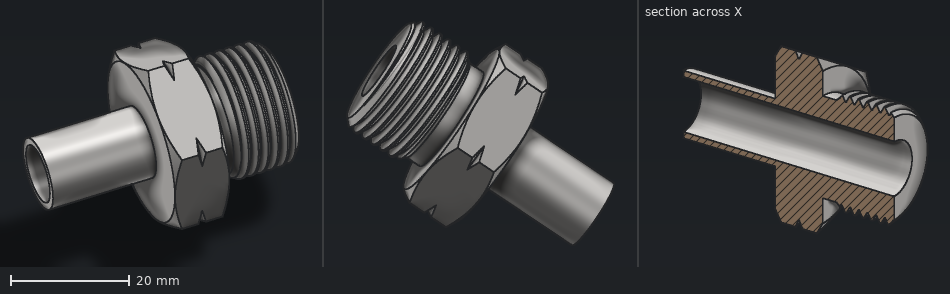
import cadquery as cq
import math

TOTAL_LENGTH = 43.95
TUBE_LENGTH = 19.03
HEX_LENGTH = 10.05
NECK_LENGTH = 2.8
BORE_DIAMETER = 10.2
TUBE_DIAMETER = 12.75
NECK_DIAMETER = 19.2

HEX_SIDES = 6
HEX_ACROSS_FLATS = 28.55
HEX_BEVEL_ANGLE = 30.0
HEX_FACE_DIAMETER = 28.47
NOTCH_WIDTH = 1.4
NOTCH_DEPTH = 1.45
NOTCH_CLEARANCE = 0.45

THREAD_DIAMETER = 21.9
THREAD_PITCH = 1.8
THREAD_CREST_FLAT = 0.35
THREAD_FLANK_ANGLE = 30.0
CREST_SETBACK = 1.6
GROOVE_OVERSHOOT = 0.15

HEX_START = TUBE_LENGTH
HEX_END = HEX_START + HEX_LENGTH
THREAD_START = HEX_END + NECK_LENGTH
THREAD_LENGTH = TOTAL_LENGTH - THREAD_START
HEX_CORNER_RADIUS = HEX_ACROSS_FLATS / 2 / math.cos(math.pi / HEX_SIDES)


def cylinder(diameter, start, end):
    """Solid cylinder about the Y axis between two positions."""
    base = cq.Workplane("XZ", origin=(0, start, 0))
    return base.circle(diameter / 2).extrude(start - end)


def revolved(points):
    """Solid of revolution about Y from (radius, y) points."""
    return cq.Workplane("XY").polyline(points).close().revolve(360, (0, 0), (0, 1))


def hexagon():
    """Hexagon with corners on +Z and -Z, bevelled at both ends and notched."""
    face_radius = HEX_FACE_DIAMETER / 2
    bevel = (HEX_CORNER_RADIUS - face_radius) * math.tan(math.radians(HEX_BEVEL_ANGLE))
    body = (
        cq.Workplane("XZ", origin=(0, HEX_START, 0))
        .transformed(rotate=(0, 0, 180 / HEX_SIDES))
        .polygon(HEX_SIDES, 2 * HEX_CORNER_RADIUS)
        .extrude(-HEX_LENGTH)
    )
    bevel_envelope = revolved([
        (0, HEX_START),
        (face_radius, HEX_START),
        (HEX_CORNER_RADIUS, HEX_START + bevel),
        (HEX_CORNER_RADIUS, HEX_END - bevel),
        (face_radius, HEX_END),
        (0, HEX_END),
    ])
    body = body.intersect(bevel_envelope)

    middle = (HEX_START + HEX_END) / 2
    outer_half_width = NOTCH_WIDTH / 2 * (NOTCH_DEPTH + NOTCH_CLEARANCE) / NOTCH_DEPTH
    notch = (
        cq.Workplane("YZ")
        .moveTo(middle, HEX_CORNER_RADIUS - NOTCH_DEPTH)
        .lineTo(middle + outer_half_width, HEX_CORNER_RADIUS + NOTCH_CLEARANCE)
        .lineTo(middle - outer_half_width, HEX_CORNER_RADIUS + NOTCH_CLEARANCE)
        .close()
        .extrude(HEX_CORNER_RADIUS / 2, both=True)
    )
    for corner in range(HEX_SIDES):
        body = body.cut(notch.rotate((0, 0, 0), (0, 1, 0), 360 / HEX_SIDES * corner))
    return body


def thread_envelope():
    """Cylinder of the thread's outer diameter, chamfered down to the neck diameter."""
    neck_radius = NECK_DIAMETER / 2
    crest_radius = THREAD_DIAMETER / 2
    chamfer = crest_radius - neck_radius
    return revolved([
        (0, THREAD_START),
        (neck_radius, THREAD_START),
        (crest_radius, THREAD_START + chamfer),
        (crest_radius, TOTAL_LENGTH - chamfer),
        (neck_radius, TOTAL_LENGTH),
        (0, TOTAL_LENGTH),
    ])


def thread_groove():
    """Helical cutter that leaves the thread ridge; it runs out past both chamfers."""
    crest_radius = THREAD_DIAMETER / 2
    outer_radius = crest_radius + GROOVE_OVERSHOOT
    flank_angle = math.radians(THREAD_FLANK_ANGLE)
    crest_half_width = (THREAD_PITCH - THREAD_CREST_FLAT) / 2
    root_radius = crest_radius - crest_half_width / math.tan(flank_angle)
    outer_half_width = (outer_radius - root_radius) * math.tan(flank_angle)

    first_groove = TOTAL_LENGTH - CREST_SETBACK - THREAD_PITCH / 2
    pitches_back = math.ceil((first_groove - THREAD_START) / THREAD_PITCH) + 1
    turns = pitches_back + 2
    start = first_groove - pitches_back * THREAD_PITCH

    helix = cq.Wire.makeHelix(THREAD_PITCH, turns * THREAD_PITCH, root_radius, lefthand=True)
    profile = (
        cq.Workplane("XZ")
        .moveTo(root_radius, 0)
        .lineTo(outer_radius, -outer_half_width)
        .lineTo(outer_radius, outer_half_width)
        .close()
    )
    groove = profile.sweep(cq.Workplane(obj=helix), isFrenet=True)
    groove = groove.rotate((0, 0, 0), (0, 0, 1), 180)
    return groove.rotate((0, 0, 0), (1, 0, 0), -90).translate((0, start, 0))


def threaded_end():
    """Threaded rod longer than its groove, trimmed to the chamfered envelope."""
    rod = cylinder(THREAD_DIAMETER, THREAD_START - THREAD_LENGTH, TOTAL_LENGTH + THREAD_LENGTH)
    return rod.cut(thread_groove()).intersect(thread_envelope())


result = (
    cylinder(TUBE_DIAMETER, 0, HEX_START)
    .union(hexagon())
    .union(cylinder(NECK_DIAMETER, HEX_END, THREAD_START))
    .union(threaded_end())
    .cut(cylinder(BORE_DIAMETER, 0, TOTAL_LENGTH))
)